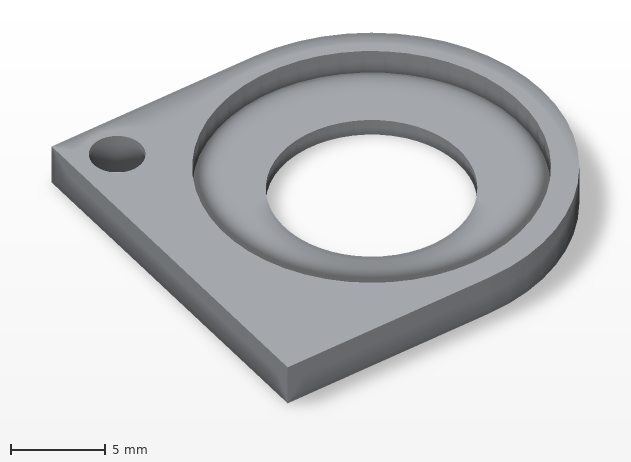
import cadquery as cq

length = 24.0
width = 22.0
thickness = 2.5
recess_diameter = 19.0
recess_depth = 1.5
bore_diameter = 11.2
corner_hole_diameter = 3.0
corner_hole_inset = 2.5

end_radius = width / 2
front_y = end_radius - length

plate = (
    cq.Workplane("XY")
    .moveTo(-end_radius, front_y)
    .lineTo(end_radius, front_y)
    .lineTo(end_radius, 0)
    .threePointArc((0, end_radius), (-end_radius, 0))
    .close()
    .extrude(thickness)
)

recess = (
    cq.Workplane("XY")
    .workplane(offset=thickness - recess_depth)
    .circle(recess_diameter / 2)
    .extrude(recess_depth)
)
bore = cq.Workplane("XY").circle(bore_diameter / 2).extrude(thickness)

corner_hole = (
    cq.Workplane("XY")
    .center(-end_radius + corner_hole_inset, front_y + corner_hole_inset)
    .circle(corner_hole_diameter / 2)
    .extrude(thickness)
)

result = plate.cut(recess).cut(bore).cut(corner_hole)